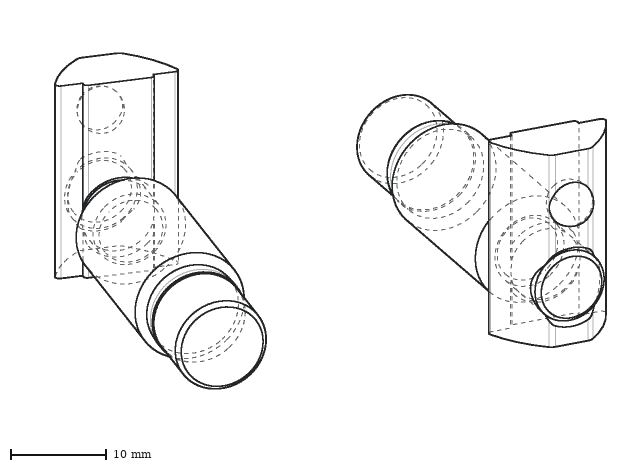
import cadquery as cq
import math


nut_height = 22.0
nut_bottom = -6.5
nut_half_width = 13.5 / 2
nose_half_width = 2.25
nose_radius = 1.0
wing_tip_radius = 0.5
flank_end_angle = 23.0
shoulder_x = 6.5
rib_x = 7.2
rib_half_width = 7.75 / 2
rib_edge_radius = 0.4
countersink_diameter = 9.0

ball_radius = 2.5
ball_projection = 2.08
ball_x = ball_radius - ball_projection
ball_z = 9.5

thread_diameter = 8.0
thread_end_diameter = 7.0
thread_chamfer = (thread_diameter - thread_end_diameter) / 2
collar_x = 11.0
collar_diameter = 12.0
collar_taper_end_x = 32.6
neck_diameter = 10.05
band_diameter = 10.2
collar_taper_length = (collar_diameter - neck_diameter) / 2
band_start_x = 34.0
band_end_x = 34.8
spigot_start_x = 35.0
spigot_diameter = 10.0
spigot_chamfer = 0.5
stud_length = 43.0


def bulged_midpoint(start, end, end_angle):
    """Middle of the arc from start to end that arrives with a slope of end_angle degrees."""
    chord_x = end[0] - start[0]
    chord_y = end[1] - start[1]
    half_turn = math.atan2(chord_y, chord_x) - math.radians(end_angle)
    bulge = math.tan(half_turn / 2) / 2
    return (
        (start[0] + end[0]) / 2 - bulge * chord_y,
        (start[1] + end[1]) / 2 + bulge * chord_x,
    )


def wing_tip_point(normal_angle):
    """Point of the rounded wing tip whose outward normal is normal_angle degrees from X."""
    angle = math.radians(normal_angle)
    return (
        shoulder_x - wing_tip_radius + wing_tip_radius * math.cos(angle),
        nut_half_width - wing_tip_radius + wing_tip_radius * math.sin(angle),
    )


def make_half_nut():
    """Half of the nut on the +Y side, with its nose and rib edges rounded."""
    nose = (0, nose_half_width)
    flank_end = wing_tip_point(90 + flank_end_angle)
    rib_corner = (rib_x, rib_half_width)
    half = (
        cq.Workplane("XY", origin=(0, 0, nut_bottom))
        .lineTo(*nose)
        .threePointArc(bulged_midpoint(nose, flank_end, flank_end_angle), flank_end)
        .threePointArc(wing_tip_point(45), wing_tip_point(0))
        .lineTo(shoulder_x, rib_half_width)
        .lineTo(*rib_corner)
        .lineTo(rib_x, 0)
        .close()
        .extrude(nut_height)
    )
    for (x, y), radius in [(nose, nose_radius), (rib_corner, rib_edge_radius)]:
        edge = cq.selectors.NearestToPointSelector((x, y, nut_bottom + nut_height / 2))
        half = half.edges("|Z").edges(edge).fillet(radius)
    return half


def make_ball():
    return cq.Workplane("XY", origin=(ball_x, 0, ball_z)).sphere(ball_radius)


def make_stud_hole():
    """Cutter for the hole through the nut, countersunk at both faces."""
    hole_radius = thread_diameter / 2
    mouth_radius = countersink_diameter / 2
    depth = mouth_radius - hole_radius
    return (
        cq.Workplane("XY")
        .lineTo(0, mouth_radius)
        .lineTo(depth, hole_radius)
        .lineTo(rib_x - depth, hole_radius)
        .lineTo(rib_x, mouth_radius)
        .lineTo(rib_x, 0)
        .close()
        .revolve(360, (0, 0, 0), (1, 0, 0))
    )


def make_nut():
    half = make_half_nut()
    nut = half.union(half.mirror("XZ"))
    return nut.cut(make_stud_hole()).cut(make_ball())


def make_stud():
    steps = [
        (0, thread_end_diameter),
        (thread_chamfer, thread_diameter),
        (collar_x - thread_chamfer, thread_diameter),
        (collar_x, thread_end_diameter),
        (collar_x, collar_diameter),
        (collar_taper_end_x - collar_taper_length, collar_diameter),
        (collar_taper_end_x, neck_diameter),
        (band_start_x, band_diameter),
        (band_end_x, band_diameter),
        (spigot_start_x, spigot_diameter),
        (stud_length - spigot_chamfer, spigot_diameter),
        (stud_length, spigot_diameter - 2 * spigot_chamfer),
    ]
    profile = cq.Workplane("XY")
    for x, diameter in steps:
        profile = profile.lineTo(x, diameter / 2)
    return profile.lineTo(stud_length, 0).close().revolve(360, (0, 0, 0), (1, 0, 0))


nut = make_nut()
ball = make_ball()
stud = make_stud()

result = cq.Compound.makeCompound([nut.val(), ball.val(), stud.val()])